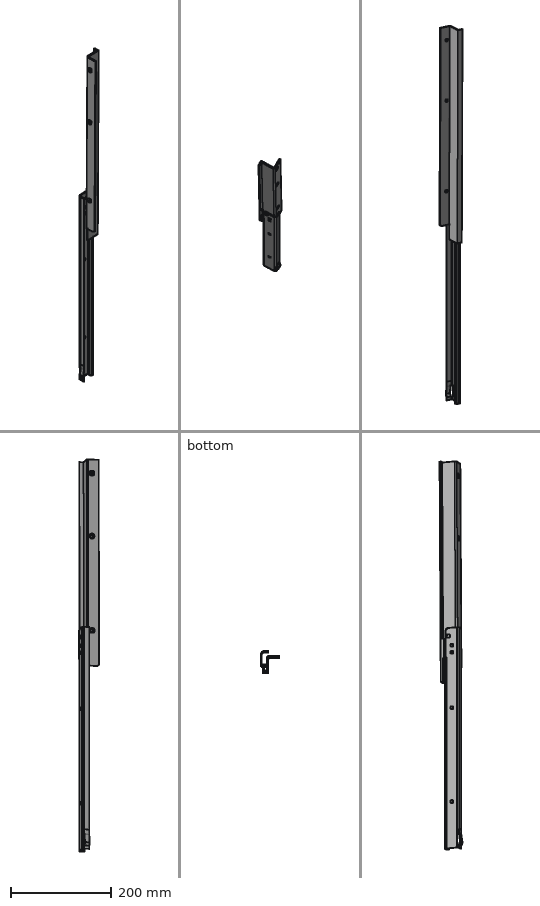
import cadquery as cq

LENGTH = 794.0
TOP = LENGTH / 2
BOTTOM = -LENGTH / 2
FOLD_IN = 2.2

SHEET = 2.2
FOLD_RUN = 4.6
CHANNEL_LEFT = -18.25
CHANNEL_RIGHT = -3.6
CHANNEL_FRONT = -20.3
CHANNEL_BACK = 10.9
CHANNEL_TOP = 54.0
TRACK_TOP = -6.0
TRACK_RIGHT = -7.0
TRACK_DEPTH = 6.5
WEB_BACK = 8.4
WEB_CORNER = 6.0
AXLE_HOLE = (2.6, 37.5, 7.4)
SCREW_HOLE_Y = -4.9
SCREW_HOLE_Z = (18.0, 3.5, -110.0, -302.0)
SCREW_HOLE_DIAMETER = 6.0

TIP_TOP = -358.0
TIP_SETBACK = 0.4
TONGUE_TOP = -367.0
TONGUE_BOTTOM = -390.5
TONGUE_PEAK_Z = -384.0
TONGUE_FRONT = -22.65
TONGUE_LEFT = -13.1
WINDOW_BACK = CHANNEL_FRONT + FOLD_RUN

RAIL_SHEET = 3.0
RAIL_FOLD_RUN = 3.7
RAIL_WEB_LEFT = -6.0
RAIL_GUIDE_LEFT = -14.3
RAIL_RIGHT = 18.25
RAIL_BACK = 22.65
RAIL_FRONT = -10.05
RAIL_BOTTOM = -54.0
RAIL_TILT = 0.33
MOUNT_BOTTOM = -22.7
MOUNT_CORNER = 5.0
MOUNT_HOLE_X = 3.9
MOUNT_HOLE_Z = (369.0, 241.0, 49.0)
MOUNT_HOLE_DIAMETER = 5.5
COUNTERSINK_DIAMETER = 10.4
COUNTERSINK_ANGLE = 90
LIP_TOP = 34.0
LIP_DEPTH = 1.8
STOP_DEPTH = 4.2
STOP_BOTTOM = TRACK_TOP


def block(x_range, y_range, z_range):
    """Box between the given low and high limits on each axis."""
    low, high = zip(x_range, y_range, z_range)
    size = [b - a for a, b in zip(low, high)]
    return cq.Workplane("XY").box(*size, centered=False).translate(low)


def extrude_section(points, bottom, top):
    """Solid with the given XY outline between two heights."""
    return cq.Workplane("XY").workplane(offset=bottom).polyline(points).close().extrude(top - bottom)


def side_hole(y, z, diameter):
    """Drill along X through the channel web."""
    return (
        cq.Workplane("YZ", origin=(CHANNEL_LEFT, y, z))
        .circle(diameter / 2)
        .extrude(2 * SHEET, both=True)
    )


def channel_front_section():
    """Flat web, sloped fold and front flange."""
    fold_x = CHANNEL_LEFT + FOLD_IN
    fold_y = CHANNEL_FRONT + FOLD_RUN
    return [
        (CHANNEL_LEFT, WEB_BACK),
        (CHANNEL_LEFT, fold_y),
        (fold_x, CHANNEL_FRONT),
        (CHANNEL_RIGHT, CHANNEL_FRONT),
        (CHANNEL_RIGHT, CHANNEL_FRONT + SHEET),
        (fold_x + SHEET, CHANNEL_FRONT + SHEET),
        (CHANNEL_LEFT + SHEET, fold_y),
        (CHANNEL_LEFT + SHEET, WEB_BACK),
    ]


def channel_track_section():
    """Sloped fold and C-shaped track along the rear edge."""
    fold_x = CHANNEL_LEFT + FOLD_IN
    fold_y = CHANNEL_BACK - FOLD_RUN
    return_y = CHANNEL_BACK - TRACK_DEPTH
    return [
        (CHANNEL_LEFT, fold_y),
        (fold_x, CHANNEL_BACK),
        (TRACK_RIGHT, CHANNEL_BACK),
        (TRACK_RIGHT, return_y),
        (fold_x + SHEET, return_y),
        (fold_x + SHEET, return_y + SHEET),
        (TRACK_RIGHT - SHEET, return_y + SHEET),
        (TRACK_RIGHT - SHEET, CHANNEL_BACK - SHEET),
        (fold_x + SHEET, CHANNEL_BACK - SHEET),
        (CHANNEL_LEFT + SHEET, fold_y),
    ]


def latch_tongue():
    """Bowed strip that slopes out past the front flange and curls back in."""
    outer_root = CHANNEL_FRONT + TIP_SETBACK
    inner_root = CHANNEL_FRONT + SHEET
    inner_peak = TONGUE_FRONT + SHEET
    curl_y = (outer_root + 2 * TONGUE_FRONT) / 3
    curl_z = (TONGUE_PEAK_Z + TONGUE_BOTTOM) / 2
    return (
        cq.Workplane("YZ", origin=(TONGUE_LEFT, 0, 0))
        .moveTo(outer_root, TONGUE_TOP)
        .lineTo(TONGUE_FRONT, TONGUE_PEAK_Z)
        .threePointArc((curl_y, curl_z), (outer_root, TONGUE_BOTTOM))
        .lineTo(inner_root, TONGUE_BOTTOM)
        .lineTo(inner_peak, TONGUE_PEAK_Z)
        .lineTo(inner_root, TONGUE_TOP)
        .close()
        .extrude(CHANNEL_RIGHT - TONGUE_LEFT)
    )


def make_channel():
    fold_y = CHANNEL_BACK - FOLD_RUN
    body = extrude_section(channel_front_section(), BOTTOM, CHANNEL_TOP)
    body = body.edges("|X").edges(">Y").edges(">Z").fillet(WEB_CORNER)
    edge = block(
        (CHANNEL_LEFT, CHANNEL_LEFT + SHEET), (fold_y, WEB_BACK), (BOTTOM, TRACK_TOP)
    )
    body = body.cut(edge)
    body = body.union(extrude_section(channel_track_section(), BOTTOM, TRACK_TOP))

    body = body.cut(side_hole(*AXLE_HOLE))
    for z in SCREW_HOLE_Z:
        body = body.cut(side_hole(SCREW_HOLE_Y, z, SCREW_HOLE_DIAMETER))

    setback = block(
        (CHANNEL_LEFT, CHANNEL_RIGHT), (CHANNEL_FRONT, CHANNEL_FRONT + TIP_SETBACK), (BOTTOM, TIP_TOP)
    )
    window = block(
        (CHANNEL_LEFT, CHANNEL_RIGHT), (CHANNEL_FRONT, WINDOW_BACK), (TONGUE_BOTTOM, TONGUE_TOP)
    )
    return body.cut(setback).cut(window).union(latch_tongue())


def rail_section():
    """Rear guide flange, web and sloped fold into the mounting flange."""
    web_right = RAIL_WEB_LEFT + RAIL_SHEET
    fold_x = RAIL_WEB_LEFT + FOLD_IN
    fold_y = RAIL_FRONT + RAIL_FOLD_RUN
    return [
        (RAIL_GUIDE_LEFT, RAIL_BACK),
        (web_right, RAIL_BACK),
        (web_right, fold_y),
        (fold_x + RAIL_SHEET, RAIL_FRONT + RAIL_SHEET),
        (RAIL_RIGHT, RAIL_FRONT + RAIL_SHEET),
        (RAIL_RIGHT, RAIL_FRONT),
        (fold_x, RAIL_FRONT),
        (RAIL_WEB_LEFT, fold_y),
        (RAIL_WEB_LEFT, RAIL_BACK - RAIL_SHEET),
        (RAIL_GUIDE_LEFT, RAIL_BACK - RAIL_SHEET),
    ]


def make_rail():
    fold_y = RAIL_FRONT + RAIL_FOLD_RUN
    body = extrude_section(rail_section(), RAIL_BOTTOM, TOP)

    below_mount = block((RAIL_WEB_LEFT, RAIL_RIGHT), (RAIL_FRONT, fold_y), (RAIL_BOTTOM, MOUNT_BOTTOM))
    body = body.cut(below_mount)
    body = body.edges("|Y").edges(">X").edges("<Z").fillet(MOUNT_CORNER)

    guide_x = (RAIL_GUIDE_LEFT, RAIL_GUIDE_LEFT + RAIL_SHEET)
    guide_inner = RAIL_BACK - RAIL_SHEET
    lip = block(guide_x, (guide_inner - LIP_DEPTH, guide_inner), (RAIL_BOTTOM, LIP_TOP))
    stop = block(guide_x, (guide_inner - STOP_DEPTH, guide_inner), (STOP_BOTTOM, LIP_TOP))
    body = body.union(lip).union(stop)

    holes = [(MOUNT_HOLE_X, z) for z in MOUNT_HOLE_Z]
    body = (
        cq.Workplane("XZ", origin=(0, RAIL_FRONT, 0))
        .add(body)
        .pushPoints(holes)
        .cskHole(MOUNT_HOLE_DIAMETER, COUNTERSINK_DIAMETER, COUNTERSINK_ANGLE)
    )
    pivot = (0, RAIL_FRONT, TOP)
    return body.rotate(pivot, (1, RAIL_FRONT, TOP), -RAIL_TILT)


channel = make_channel()
rail = make_rail()
result = cq.Compound.makeCompound([*channel.solids().vals(), *rail.solids().vals()])